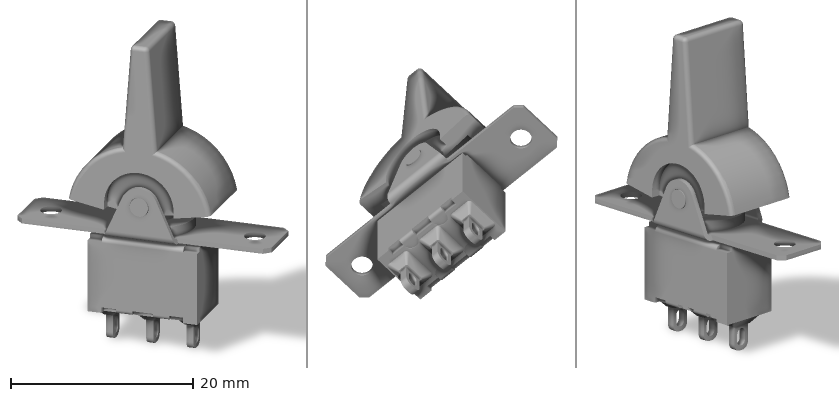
import cadquery as cq
import math

COLLAR_FOOT = 2.95
HOUSING_BOTTOM = 3.98
STRAP_HEM = 4.63
POST_TOP = 12.33
HOUSING_TOP = 12.8
PLATE_BOTTOM = 13.3
WASHER_TOP = 15.05
ROCKER_CENTER = 15.87
PIVOT = 17.35
LEVER_TOP = 36.15

HOUSING_LENGTH = 12.75
HOUSING_WIDTH = 6.95
STRAP_THICKNESS = 0.72
STRAP_LENGTH = 9.47
STRAP_FILLET = 0.58
CORE_WIDTH = HOUSING_WIDTH - 2 * STRAP_THICKNESS
TONGUE_WIDTH = 1.88
TONGUE_SPACING = 4.3
TONGUE_FILLET = 0.45
TONGUE_SINK = 0.1
PAD_RADIUS = 5.55
PAD_FILLET = 0.45

TERMINAL_PITCH = 4.7
TERMINAL_THICKNESS = 0.83
TERMINAL_WIDTH = 2.15
TERMINAL_CORNER = 0.85
SLOT_WIDTH = 1.23
SLOT_LOW = 0.55
SLOT_HIGH = 2.53
COLLAR_TOP_SIZE = (3.05, 4.38)
COLLAR_TOP_CORNER = 0.4
COLLAR_FOOT_SIZE = (1.37, 2.53)
COLLAR_FOOT_CORNER = 0.2

SHEET = 0.58
PLATE_LENGTH = 29.6
PLATE_CORNER = 0.75
MOUNT_HOLE_DIAMETER = 2.4
MOUNT_HOLE_SPACING = 23.75
LUG_OUTER_WIDTH = 9.05
LUG_BASE_LENGTH = 8.4
LUG_TIP_RADIUS = 2.17
PIVOT_HOLE_DIAMETER = 2.2
BEND_INNER_RADIUS = 0.2
BEND_OUTER_RADIUS = BEND_INNER_RADIUS + SHEET

BUSHING_DIAMETER = 5.2
WASHER_RADIUS = 4.38
WASHER_OFFSET = 0.4
WASHER_WIDTH = 6.47

ROCKER_WIDTH = 9.25
ROCKER_RADIUS = 8.43
UNDERSIDE_ANGLE = 10.0
LEVER_TIP_LENGTH = 2.1
LEVER_ROOT_LENGTH = 3.98
LEVER_ROOT = 24.12
ROCKER_FILLET = 0.5
PIN_DIAMETER = 2.15
RECESS_RADIUS = 4.05
RECESS_DEPTH = 1.15
CAVITY_RADIUS = 6.58
CAVITY_WIDTH = 5.5


def block(length, width, bottom, top):
    """Box centred on the Z axis between two heights."""
    return cq.Workplane("XY").workplane(offset=bottom).rect(length, width).extrude(top - bottom)


def cylinder_y(radius, width, height):
    """Cylinder along Y, centred on Y = 0, with its axis at the given height."""
    return cq.Workplane("XZ").center(0, height).circle(radius).extrude(width / 2, both=True)


def clipped_disc(radius, width, bottom, top, offset=0.0):
    """Disc with two flats parallel to X."""
    base = cq.Workplane("XY").workplane(offset=bottom)
    disc = base.center(offset, 0).circle(radius).extrude(top - bottom)
    return disc.intersect(block(4 * radius, width, bottom, top))


def make_strap_body():
    """Middle of the housing: straps with rounded shoulders and two tongues under each side."""
    body = block(STRAP_LENGTH, HOUSING_WIDTH, STRAP_HEM, HOUSING_TOP)
    body = body.faces(">Z").edges("|X").fillet(STRAP_FILLET)
    tongue_bottom = HOUSING_BOTTOM + TONGUE_SINK
    for x in (-TONGUE_SPACING / 2, TONGUE_SPACING / 2):
        tongue = block(TONGUE_WIDTH, HOUSING_WIDTH, tongue_bottom, STRAP_HEM)
        tongue = tongue.faces("<Z").edges("|X").fillet(TONGUE_FILLET)
        body = body.union(tongue.translate((x, 0, 0)))
    return body


def make_housing():
    base = block(HOUSING_LENGTH, HOUSING_WIDTH, HOUSING_BOTTOM, POST_TOP)
    core = block(HOUSING_LENGTH, CORE_WIDTH, HOUSING_BOTTOM, POST_TOP)
    base = base.cut(block(STRAP_LENGTH, HOUSING_WIDTH, HOUSING_BOTTOM, POST_TOP).cut(core))
    pockets = (
        cq.Workplane("XY").workplane(offset=HOUSING_BOTTOM)
        .rarray(TONGUE_SPACING, CORE_WIDTH, 2, 2)
        .circle(TONGUE_WIDTH / 2).extrude(TONGUE_SINK)
    )
    base = base.cut(pockets)
    pad = clipped_disc(PAD_RADIUS, CORE_WIDTH, HOUSING_TOP, PLATE_BOTTOM)
    pad = pad.faces(">Z").edges().fillet(PAD_FILLET)
    cap = block(HOUSING_LENGTH, CORE_WIDTH, POST_TOP, HOUSING_TOP).union(pad)
    return base.union(cap.union(make_strap_body()), clean=False)


def make_terminal(x):
    """Tapered collar with a slotted, round-cornered solder blade."""
    foot = cq.Sketch().rect(*COLLAR_FOOT_SIZE).vertices().fillet(COLLAR_FOOT_CORNER)
    top = cq.Sketch().rect(*COLLAR_TOP_SIZE).vertices().fillet(COLLAR_TOP_CORNER)
    rise = HOUSING_BOTTOM - COLLAR_FOOT
    collar = cq.Workplane("XY").placeSketch(foot, top.moved(cq.Location(cq.Vector(0, 0, rise)))).loft()
    collar = collar.translate((0, 0, COLLAR_FOOT))

    blade = block(TERMINAL_THICKNESS, TERMINAL_WIDTH, 0, COLLAR_FOOT)
    blade = blade.faces("<Z").edges("|X").fillet(TERMINAL_CORNER)
    slot = (
        cq.Workplane("YZ").center(0, (SLOT_LOW + SLOT_HIGH) / 2)
        .slot2D(SLOT_HIGH - SLOT_LOW, SLOT_WIDTH, 90)
        .extrude(TERMINAL_THICKNESS, both=True)
    )
    return collar.union(blade.cut(slot)).translate((x, 0, 0))


def lug_outline():
    """Tapered lug, its straight sides tangent to the round tip, as a prism along Y."""
    rise = PIVOT - PLATE_BOTTOM
    half_base = LUG_BASE_LENGTH / 2
    tangent_angle = math.acos(LUG_TIP_RADIUS / math.hypot(half_base, rise)) - math.atan2(rise, half_base)
    tangent_x = LUG_TIP_RADIUS * math.cos(tangent_angle)
    tangent_z = PIVOT + LUG_TIP_RADIUS * math.sin(tangent_angle)
    return (
        cq.Workplane("XZ")
        .moveTo(-half_base, PLATE_BOTTOM)
        .lineTo(half_base, PLATE_BOTTOM)
        .lineTo(tangent_x, tangent_z)
        .threePointArc((0, PIVOT + LUG_TIP_RADIUS), (-tangent_x, tangent_z))
        .close()
        .extrude(LUG_OUTER_WIDTH, both=True)
    )


def make_bracket():
    """Mounting plate with two lugs bent up around the rocker."""
    plate = block(PLATE_LENGTH, HOUSING_WIDTH, PLATE_BOTTOM, PLATE_BOTTOM + SHEET)
    plate = plate.edges("|Z").chamfer(PLATE_CORNER)
    plate = plate.faces(">Z").workplane().rarray(MOUNT_HOLE_SPACING, 0.35, 2, 1).hole(MOUNT_HOLE_DIAMETER)

    lug_top = PIVOT + LUG_TIP_RADIUS
    channel = block(LUG_BASE_LENGTH, LUG_OUTER_WIDTH, PLATE_BOTTOM, lug_top)
    channel = channel.faces("<Z").edges("|X").fillet(BEND_OUTER_RADIUS)
    inside = block(LUG_BASE_LENGTH, LUG_OUTER_WIDTH - 2 * SHEET, PLATE_BOTTOM + SHEET, lug_top)
    inside = inside.faces("<Z").edges("|X").fillet(BEND_INNER_RADIUS)
    lugs = channel.cut(inside).intersect(lug_outline())
    lugs = lugs.cut(cylinder_y(PIVOT_HOLE_DIAMETER / 2, LUG_OUTER_WIDTH, PIVOT))
    return plate.union(lugs, clean=False)


def make_switch():
    """Housing, terminals, bracket, washer and bushing as one body."""
    plate_top = PLATE_BOTTOM + SHEET
    switch = make_housing()
    for x in (-TERMINAL_PITCH, 0, TERMINAL_PITCH):
        switch = switch.union(make_terminal(x), clean=False)
    switch = switch.union(make_bracket(), clean=False)
    washer = clipped_disc(WASHER_RADIUS, WASHER_WIDTH, plate_top, WASHER_TOP, WASHER_OFFSET)
    bushing = (
        cq.Workplane("XY").workplane(offset=plate_top)
        .circle(BUSHING_DIAMETER / 2).extrude(PIVOT - plate_top)
    )
    return switch.union(washer, clean=False).union(bushing, clean=False)


def rocker_blank():
    """Round back above two sloping undersides, with the tapered lever on top."""
    slope = math.radians(UNDERSIDE_ANGLE)
    edge_x = ROCKER_RADIUS * math.cos(slope)
    edge_z = ROCKER_CENTER + ROCKER_RADIUS * math.sin(slope)
    back = (
        cq.Workplane("XZ")
        .moveTo(0, ROCKER_CENTER)
        .lineTo(edge_x, edge_z)
        .threePointArc((0, ROCKER_CENTER + ROCKER_RADIUS), (-edge_x, edge_z))
        .close()
        .extrude(ROCKER_WIDTH / 2, both=True)
    )
    lean = (LEVER_ROOT_LENGTH - LEVER_TIP_LENGTH) / (LEVER_TOP - LEVER_ROOT)
    foot_z = ROCKER_CENTER + ROCKER_RADIUS / 2
    foot_length = LEVER_TIP_LENGTH + lean * (LEVER_TOP - foot_z)
    lever = (
        cq.Workplane("XZ")
        .moveTo(-foot_length / 2, foot_z)
        .lineTo(foot_length / 2, foot_z)
        .lineTo(LEVER_TIP_LENGTH / 2, LEVER_TOP)
        .lineTo(-LEVER_TIP_LENGTH / 2, LEVER_TOP)
        .close()
        .extrude(ROCKER_WIDTH / 2, both=True)
    )
    blank = back.union(lever)
    above_undersides = cq.selectors.BoxSelector(
        (-ROCKER_RADIUS, -ROCKER_WIDTH, PIVOT),
        (ROCKER_RADIUS, ROCKER_WIDTH, LEVER_TOP + ROCKER_FILLET),
    )
    rim_edges = blank.faces("<Y or >Y").edges(above_undersides)
    tip_edges = blank.faces(">Z").edges("|Y")
    return rim_edges.add(tip_edges).fillet(ROCKER_FILLET)


def make_rocker():
    rocker = rocker_blank()
    recess = cylinder_y(RECESS_RADIUS, ROCKER_WIDTH, PIVOT)
    recess = recess.union(block(2 * RECESS_RADIUS, ROCKER_WIDTH, ROCKER_CENTER, PIVOT))
    web = block(4 * RECESS_RADIUS, ROCKER_WIDTH - 2 * RECESS_DEPTH, 0, LEVER_TOP)
    rocker = rocker.cut(recess.cut(web))
    rocker = rocker.union(cylinder_y(PIN_DIAMETER / 2, ROCKER_WIDTH, PIVOT))
    return rocker.cut(cylinder_y(CAVITY_RADIUS, CAVITY_WIDTH, ROCKER_CENTER))


switch_body = make_switch()
rocker = make_rocker()
result = cq.Compound.makeCompound([switch_body.solids().val(), rocker.solids().val()])